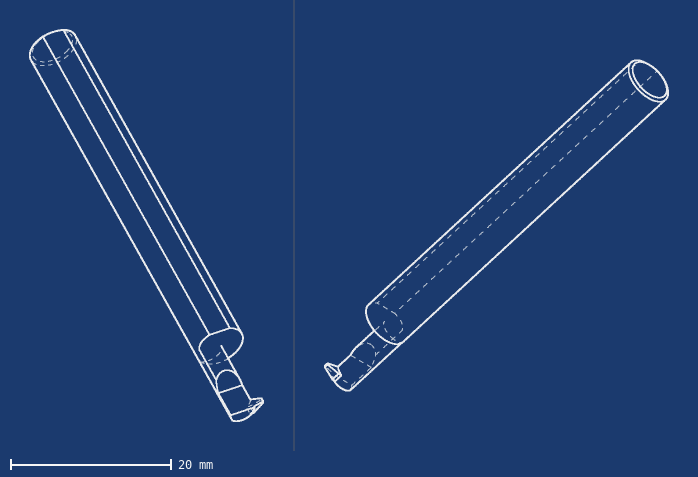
import cadquery as cq

total_length = 63.5
shank_radius = 3.2
shank_length = 52.7
shank_flat_height = 2.85
end_chamfer_length = 0.25
end_chamfer_depth = 0.45

neck_radius = 1.745
neck_center_y = -1.65
root_fillet = 0.5

ramp_end_x = 59.6
ramp_height = 2 * shank_radius

tooth_tip_y = 1.45
tooth_base_y = 0.0
tooth_base_start = 62.1
tooth_tip_start = 62.5
tooth_tip_end = 63.05
tooth_base_end = 63.4
tooth_tip_thickness = 0.25
tooth_base_thickness = 1.3


def cylinder_along_x(length):
    return cq.Workplane("YZ").circle(shank_radius).extrude(length)


def make_shank():
    end_radius = shank_radius - end_chamfer_depth
    profile = (
        cq.Workplane("XY")
        .lineTo(0, end_radius)
        .lineTo(end_chamfer_length, shank_radius)
        .lineTo(shank_length, shank_radius)
        .lineTo(shank_length, 0)
        .close()
    )
    shank = profile.revolve(360, (0, 0, 0), (1, 0, 0))
    above_flat = (
        cq.Workplane("XY")
        .workplane(offset=shank_flat_height)
        .rect(2 * total_length, 4 * shank_radius)
        .extrude(shank_radius)
    )
    return shank.cut(above_flat)


def make_neck():
    """Round neck with a filleted root, limited to the shank's cylindrical outline."""
    flare_radius = neck_radius + root_fillet
    profile = (
        cq.Workplane("XY", origin=(0, neck_center_y, 0))
        .moveTo(shank_length, 0)
        .lineTo(shank_length, flare_radius)
        .radiusArc((shank_length + root_fillet, neck_radius), -root_fillet)
        .lineTo(total_length, neck_radius)
        .lineTo(total_length, 0)
        .close()
    )
    neck = profile.revolve(360, (0, 0, 0), (1, 0, 0))
    ramp_cut = (
        cq.Workplane("XZ")
        .moveTo(ramp_end_x, 0)
        .lineTo(total_length, 0)
        .lineTo(total_length, ramp_height)
        .lineTo(ramp_end_x - ramp_height, ramp_height)
        .close()
        .extrude(2 * shank_radius, both=True)
    )
    return neck.intersect(cylinder_along_x(total_length)).cut(ramp_cut)


def make_tooth():
    """Tapered cutting tooth, level with the blade on top and relieved below towards its tip."""
    outline = (
        cq.Workplane("XY")
        .moveTo(tooth_base_start, neck_center_y)
        .lineTo(tooth_base_start, tooth_base_y)
        .lineTo(tooth_tip_start, tooth_tip_y)
        .lineTo(tooth_tip_end, tooth_tip_y)
        .lineTo(tooth_base_end, tooth_base_y)
        .lineTo(tooth_base_end, neck_center_y)
        .close()
        .extrude(-tooth_base_thickness)
    )
    relieved_section = (
        cq.Workplane("YZ")
        .moveTo(neck_center_y, 0)
        .lineTo(tooth_tip_y, 0)
        .lineTo(tooth_tip_y, -tooth_tip_thickness)
        .lineTo(tooth_base_y, -tooth_base_thickness)
        .lineTo(neck_center_y, -tooth_base_thickness)
        .close()
        .extrude(total_length)
    )
    return outline.intersect(relieved_section)


result = make_shank().union(make_neck()).union(make_tooth())